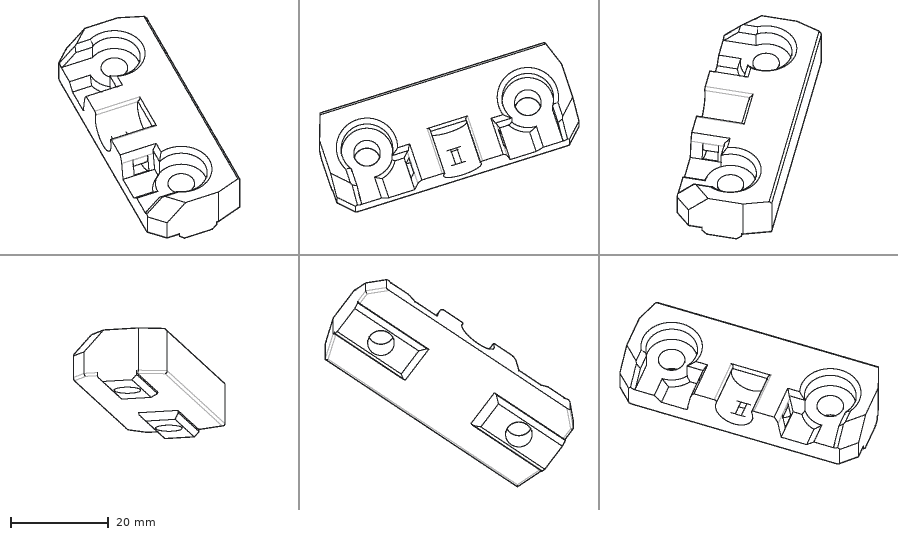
import cadquery as cq
import math

length = 52.0
depth = 20.0
height = 9.4
half_length = length / 2
front_corner = 3.0
back_corner_x = 1.9
back_corner_y = 5.55
bottom_fillet = 0.5
back_chamfer = 0.5
bevel_run = 2.9
bevel_drop = 4.35

rail_front = 5.8
rail_back = 14.1
rail_drop = 1.4
rail_chamfer = 1.05
rail_embed = bottom_fillet
rail_end_top = 8.2
rail_end_bottom = 10.0

screw_x = -17.25
screw_y = 9.95
screw_diameter = 5.4
head_diameter = 10.55
head_floor = 5.05
head_chamfer = 1.0

slot_wall_x = -21.6
slot_chamfer = 1.2
slot_back = 7.0
pocket_floor = 3.5
pocket_step_x = -17.35
pocket_wall_x = -10.25
pocket_ring = 0.55

strap_front = 2.5
strap_back = 5.75
strap_inner_radius = 3.65
strap_outer_radius = 5.4
strap_corner_x = 6.0
strap_corner_z = 7.0
wall_break_z = 7.65

groove_radius = 4.05
groove_floor = 3.35
groove_back = 9.35
groove_chamfer = 0.6
groove_fillet = 0.5

margin = 0.05


def edge_box(low, high):
    """Selector for the edges whose centres lie between two corners."""
    return cq.selectors.BoxSelector(
        tuple(value - margin for value in low),
        tuple(value + margin for value in high),
    )


def shoulder_x(z):
    """X of the left rounded shoulder at height z."""
    rise = z - strap_corner_z
    return -strap_corner_x - math.sqrt(strap_inner_radius**2 - rise**2)


def half_block():
    """Left half of the block with its cut corners, edge treatments and bevel."""
    outline = [
        (0, 0),
        (-half_length + front_corner, 0),
        (-half_length, front_corner),
        (-half_length, depth - back_corner_y),
        (-half_length + back_corner_x, depth),
        (0, depth),
    ]
    block = cq.Workplane("XY").polyline(outline).close().extrude(height)
    outer_edges = edge_box((-half_length, 2 * margin, 0), (-2 * margin, depth, 0))
    block = block.edges(outer_edges).fillet(bottom_fillet)
    block = block.edges(">Y and >Z").chamfer(back_chamfer)
    across_corner = cq.Plane(
        origin=(-half_length, front_corner, 0), xDir=(1, 1, 0), normal=(1, -1, 0)
    )
    bevel = (
        cq.Workplane(across_corner)
        .polyline([(0, height - bevel_drop), (0, height), (bevel_run, height)])
        .close()
        .extrude(depth / 2, both=True)
    )
    return block.cut(bevel)


def half_rail():
    """Left rail, chamfered along its lower edges and slanted at its inner end."""
    section = [
        (rail_front, rail_embed),
        (rail_front, rail_chamfer - rail_drop),
        (rail_front + rail_chamfer, -rail_drop),
        (rail_back - rail_chamfer, -rail_drop),
        (rail_back, rail_chamfer - rail_drop),
        (rail_back, rail_embed),
    ]
    side = [
        (-half_length, rail_embed),
        (-half_length, -rail_drop),
        (-rail_end_bottom, -rail_drop),
        (-rail_end_top, 0),
        (-rail_end_top, rail_embed),
    ]
    bar = cq.Workplane("YZ").polyline(section).close().extrude(-half_length)
    return bar.intersect(cq.Workplane("XZ").polyline(side).close().extrude(-depth))


def slot_and_pocket():
    """Cutter for the left slot and pocket, leaving a cone of material around the screw seat."""
    middle_z = (wall_break_z + height) / 2
    step = head_floor - pocket_floor
    across = (
        cq.Workplane("XZ")
        .moveTo(slot_wall_x, height)
        .lineTo(slot_wall_x, head_floor)
        .lineTo(pocket_step_x, head_floor)
        .lineTo(pocket_step_x + step, pocket_floor)
        .lineTo(pocket_wall_x, pocket_floor)
        .lineTo(shoulder_x(wall_break_z), wall_break_z)
        .threePointArc((shoulder_x(middle_z), middle_z), (shoulder_x(height), height))
        .close()
        .extrude(-depth)
    )
    chamfered_back = [
        (0, pocket_floor),
        (slot_back, pocket_floor),
        (slot_back, height - head_chamfer),
        (slot_back + head_chamfer, height),
        (0, height),
    ]
    along = cq.Workplane("YZ").polyline(chamfered_back).close().extrude(-half_length)
    seat_radius = head_diameter / 2
    seat = (
        cq.Workplane("XY", origin=(screw_x, screw_y, pocket_floor))
        .circle(seat_radius + pocket_ring)
        .workplane(offset=step)
        .circle(seat_radius)
        .loft()
    )
    return across.intersect(along).cut(seat)


def screw_hole():
    """Cutter for the left counterbored hole with a chamfered mouth."""
    at_screw = cq.Workplane("XY", origin=(screw_x, screw_y, 0))
    shank = at_screw.workplane(offset=-rail_drop).circle(screw_diameter / 2).extrude(rail_drop + head_floor)
    head = at_screw.workplane(offset=head_floor).circle(head_diameter / 2).extrude(height - head_floor)
    mouth = (
        at_screw.workplane(offset=height - head_chamfer)
        .circle(head_diameter / 2)
        .workplane(offset=head_chamfer)
        .circle(head_diameter / 2 + head_chamfer)
        .loft()
    )
    return shank.union(head).union(mouth)


def strap_channel():
    """Flat strap path that dips under the groove from one pocket to the other."""
    start = cq.Workplane("XZ", origin=(0, strap_front, strap_corner_z))

    def loop(radius):
        width = 2 * (strap_corner_x + radius)
        return start.slot2D(width, 2 * radius).extrude(strap_front - strap_back)

    return loop(strap_outer_radius).cut(loop(strap_inner_radius))


def cut_groove(block):
    """Cut the left half of the round-bottomed groove, with a rounded lip and a chamfered back."""
    groove = (
        cq.Workplane("XZ", origin=(0, 0, groove_floor + groove_radius))
        .circle(groove_radius)
        .extrude(-groove_back)
    )
    block = block.cut(groove)
    lip = edge_box((-groove_radius, 0.4 * groove_back, height), (-margin, 0.6 * groove_back, height))
    back_rim = edge_box((-groove_radius, groove_back, height), (-margin, groove_back, height))
    block = block.edges(lip).fillet(groove_fillet)
    return block.edges(back_rim).chamfer(groove_chamfer)


left = half_block().cut(slot_and_pocket())
slot_rim = edge_box(
    (slot_wall_x, 2 * margin, head_floor + slot_chamfer),
    (slot_wall_x, slot_back - 2 * margin, height),
)
left = left.edges(slot_rim).chamfer(slot_chamfer)
left = left.union(half_rail()).cut(screw_hole())
left = cut_groove(left)

result = left.union(left.mirror("YZ")).cut(strap_channel())